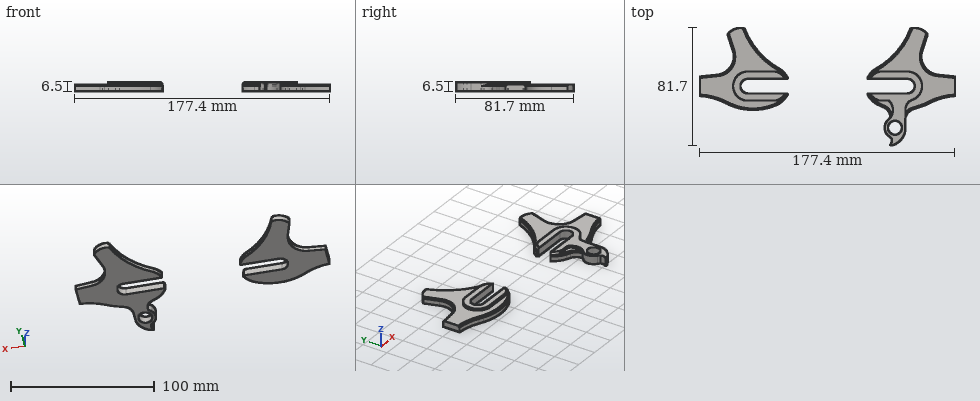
import cadquery as cq
import math


PLATE_HEIGHT = 5.0
TOTAL_HEIGHT = 6.5
BOSS_HEIGHT = TOTAL_HEIGHT - PLATE_HEIGHT
PLATE_CHAMFER = 1.0

SLOT_CENTRE_X = 55.5
SLOT_RADIUS = 5.0
PAD_RADIUS = 10.1
NOSE_CENTRE_X = 38.3
NOSE_RADIUS = 11.9

ARM_END_X = 88.7
ARM_TOP = (ARM_END_X, 6.7)
ARM_BOTTOM = (ARM_END_X, -7.0)

CROTCH_START = (76.6, 8.0)
CROTCH_MIDDLE = (67.5, 13.1)
CROTCH_END = (66.0, 24.8)

UPPER_ARM_OUTER = (69.5, 35.8)
UPPER_ARM_CROWN = (64.5, 39.7)
UPPER_ARM_INNER = (57.6, 40.0)

HOLLOW_MIDDLE = (47.5, 23.2)

TIP_X = 27.7
TIP_HALF_GAP = 5.7
TIP_CORNER = 0.7
NOSE_TOP_START = (32.3, 11.4)
NOSE_TOP_MIDDLE = (29.8, 8.9)
NOSE_BOTTOM_MIDDLE = (30.9, -10.0)
NOSE_BOTTOM_END = (36.2, -13.5)

BELLY_END = (68.1, -13.1)
ARM_CURVE_START = (71.3, -11.5)

HANGER_EDGE_X = 54.1
EDGE_BOTTOM_Y = -31.0
HOLE_CENTRE = (46.8, -29.0)
HOLE_RADIUS = 4.8
LOBE_RADIUS = HANGER_EDGE_X - HOLE_CENTRE[0]
LOBE_START_ANGLE = 235
LOBE_END_ANGLE = 140

STOP_OUTER_MIDDLE = (51.3, -37.0)
STOP_TIP_OUTER = (44.5, -41.3)
STOP_TIP_INNER = (43.5, -41.0)
STOP_INNER_MIDDLE = (44.5, -38.5)
STOP_INNER_END = (44.3, -36.4)

NECK = (43.5, -22.0)
NECK_CURVE_START = (39.0, -14.7)
NECK_STEP_MIDDLE = (45.4, -17.0)
NECK_STEP_END = (42.5, -PAD_RADIUS)

PAD_FILLET = 7.1
HANGER_FILLET = 7.5
HANGER_FILLET_CENTRE = (HANGER_EDGE_X + HANGER_FILLET, -23.2)
BELLY_ANGLE = 17


def on_circle(centre, radius, angle):
    """Point of a circle at an angle in degrees from +X."""
    turn = math.radians(angle)
    return (centre[0] + radius * math.cos(turn), centre[1] + radius * math.sin(turn))


def on_lobe(angle):
    return on_circle(HOLE_CENTRE, LOBE_RADIUS, angle)


def on_hanger_fillet(angle):
    return on_circle(HANGER_FILLET_CENTRE, HANGER_FILLET, angle)


def upper_outline():
    """Outline from the arm's lower corner, over the upper arm, to the lower tip."""
    return (
        cq.Workplane("XY")
        .moveTo(*ARM_BOTTOM)
        .lineTo(*ARM_TOP)
        .lineTo(*CROTCH_START)
        .threePointArc(CROTCH_MIDDLE, CROTCH_END)
        .lineTo(*UPPER_ARM_OUTER)
        .threePointArc(UPPER_ARM_CROWN, UPPER_ARM_INNER)
        .threePointArc(HOLLOW_MIDDLE, NOSE_TOP_START)
        .threePointArc(NOSE_TOP_MIDDLE, (TIP_X, TIP_HALF_GAP))
        .lineTo(TIP_X, -TIP_HALF_GAP)
        .threePointArc(NOSE_BOTTOM_MIDDLE, NOSE_BOTTOM_END)
    )


def close_at_arm(outline):
    """Finish an outline along the lower edge of the side arm."""
    return outline.lineTo(*ARM_CURVE_START).tangentArcPoint(ARM_BOTTOM, relative=False).close()


def plain_outline():
    return close_at_arm(upper_outline().tangentArcPoint(BELLY_END, relative=False))


def hanger_side_outline():
    fillet_end = 90 + BELLY_ANGLE
    fillet_middle = (180 + fillet_end) / 2
    return close_at_arm(
        upper_outline()
        .lineTo(*NECK_CURVE_START)
        .tangentArcPoint(NECK, relative=False)
        .lineTo(*on_hanger_fillet(180))
        .threePointArc(on_hanger_fillet(fillet_middle), on_hanger_fillet(fillet_end))
        .tangentArcPoint(BELLY_END, relative=False)
    )


def is_chamfered(edge):
    """Leave out the arm ends, the slot mouth and the edge inside the hanger."""
    middle = edge.positionAt(0.5)
    at_arm_end = middle.x > ARM_END_X - PLATE_CHAMFER or middle.y > UPPER_ARM_OUTER[1]
    at_mouth = middle.x < TIP_X + PLATE_CHAMFER
    in_hanger = middle.y < NECK[1]
    return not (at_arm_end or at_mouth or in_hanger)


def chamfered_plate(outline):
    plate = outline.extrude(PLATE_HEIGHT)
    edges = [edge for edge in plate.faces(">Z").edges().vals() if is_chamfered(edge)]
    return plate.newObject(edges).chamfer(PLATE_CHAMFER)


def bar(radius, centre_x, end_x, height):
    """Bar along the slot axis from a round end at centre_x to a square end at end_x."""
    middle_x = (centre_x + end_x) / 2
    square = cq.Workplane("XY").center(middle_x, 0).rect(abs(end_x - centre_x), 2 * radius).extrude(height)
    return square.union(cq.Workplane("XY").center(centre_x, 0).circle(radius).extrude(height))


def slot_pad(outline):
    """Raised pad around the slot, bevelled round the nose and kept inside the plate's outline."""
    pad = bar(PAD_RADIUS, SLOT_CENTRE_X, 0, TOTAL_HEIGHT)
    nose = bar(NOSE_RADIUS, NOSE_CENTRE_X, ARM_END_X, TOTAL_HEIGHT).faces(">Z").chamfer(BOSS_HEIGHT)
    return pad.intersect(nose).intersect(outline.extrude(TOTAL_HEIGHT))


def slot_cutter():
    """Slot with the two corners of its mouth broken."""
    corner_x = TIP_X + TIP_CORNER
    mouth = (
        cq.Workplane("XY")
        .moveTo(TIP_X, TIP_HALF_GAP)
        .lineTo(corner_x, SLOT_RADIUS)
        .lineTo(corner_x, -SLOT_RADIUS)
        .lineTo(TIP_X, -TIP_HALF_GAP)
        .close()
        .extrude(TOTAL_HEIGHT)
    )
    return bar(SLOT_RADIUS, SLOT_CENTRE_X, 0, TOTAL_HEIGHT).union(mouth)


def hanger():
    """Hanger with its eye and pointed stop, running up into the slot pad."""
    fillet_x = HANGER_EDGE_X + PAD_FILLET
    reach = PAD_RADIUS + PAD_FILLET
    fillet_y = -math.sqrt(reach**2 - (fillet_x - SLOT_CENTRE_X) ** 2)
    share = PAD_RADIUS / reach
    pad_point = (SLOT_CENTRE_X + share * (fillet_x - SLOT_CENTRE_X), share * fillet_y)
    lobe_middle = (LOBE_START_ANGLE + LOBE_END_ANGLE) / 2
    root_y = -(SLOT_RADIUS + PAD_RADIUS) / 2
    return (
        cq.Workplane("XY")
        .moveTo(*pad_point)
        .radiusArc((HANGER_EDGE_X, fillet_y), -PAD_FILLET)
        .lineTo(HANGER_EDGE_X, EDGE_BOTTOM_Y)
        .threePointArc(STOP_OUTER_MIDDLE, STOP_TIP_OUTER)
        .lineTo(*STOP_TIP_INNER)
        .threePointArc(STOP_INNER_MIDDLE, STOP_INNER_END)
        .lineTo(*on_lobe(LOBE_START_ANGLE))
        .threePointArc(on_lobe(lobe_middle), on_lobe(LOBE_END_ANGLE))
        .lineTo(*NECK)
        .threePointArc(NECK_STEP_MIDDLE, NECK_STEP_END)
        .lineTo(NECK_STEP_END[0], root_y)
        .lineTo(pad_point[0], root_y)
        .close()
        .extrude(TOTAL_HEIGHT)
        .cut(cq.Workplane("XY").center(*HOLE_CENTRE).circle(HOLE_RADIUS).extrude(TOTAL_HEIGHT))
    )


def plain_dropout():
    plate = chamfered_plate(plain_outline())
    return plate.union(slot_pad(plain_outline())).cut(slot_cutter()).mirror("YZ")


def hanger_dropout():
    plate = chamfered_plate(hanger_side_outline())
    pad = slot_pad(hanger_side_outline())
    return plate.union(pad).union(hanger()).cut(slot_cutter())


left_dropout = plain_dropout()
right_dropout = hanger_dropout()

result = cq.Compound.makeCompound([left_dropout.val(), right_dropout.val()])